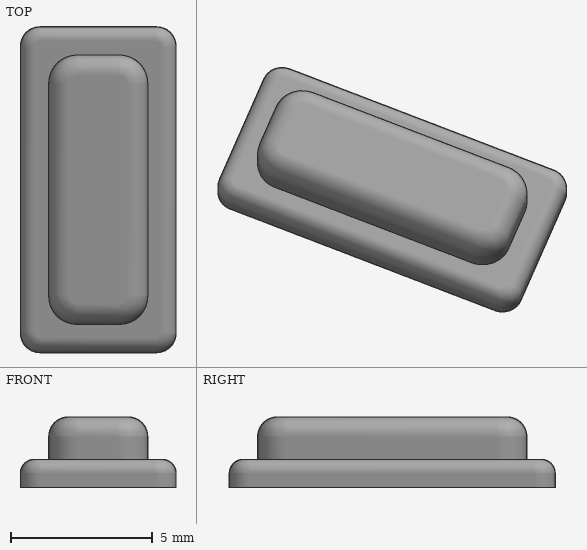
import cadquery as cq

length = 11.5
width = 5.5
base_height = 1.0
base_corner_radius = 0.7
base_edge_radius = base_height / 2

total_height = 2.5
pad_margin = 1.0
pad_width = width - 2 * pad_margin
pad_length = length - 2 * pad_margin
pad_corner_radius = 1.0
pad_edge_radius = 0.7


def rounded_block(size_x, size_y, height, corner_radius, edge_radius):
    """Block standing on Z = 0 with rounded upright corners and a rounded top rim."""
    block = cq.Workplane("XY").box(size_x, size_y, height, centered=(True, True, False))
    block = block.edges("|Z").fillet(corner_radius)
    return block.faces(">Z").edges().fillet(edge_radius)


base = rounded_block(width, length, base_height, base_corner_radius, base_edge_radius)

pad = rounded_block(pad_width, pad_length, total_height, pad_corner_radius, pad_edge_radius)

result = base.union(pad)